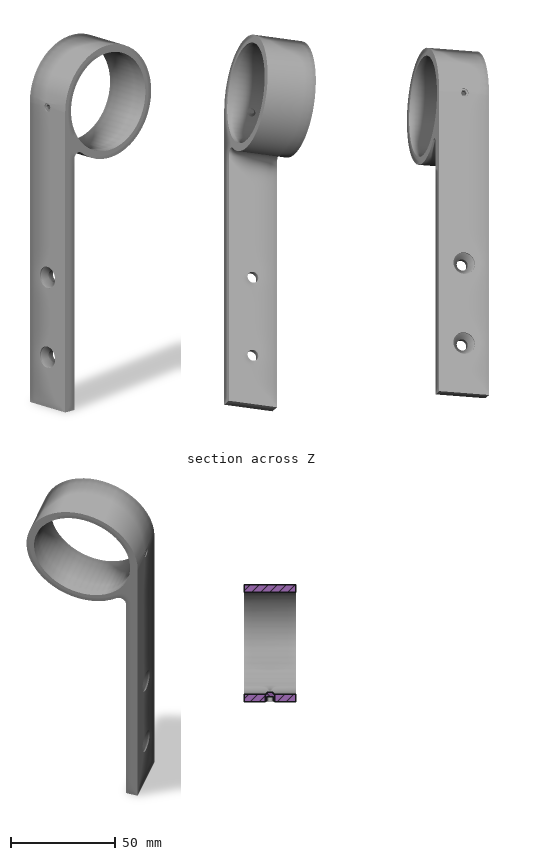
import cadquery as cq
import math

width = 25.0
total_height = 178.2
ring_diameter = 56.5
bore_diameter = 48.8
strip_thickness = 6.0
corner_radius = 2.9

ring_radius = ring_diameter / 2
bore_radius = bore_diameter / 2
front_y = -ring_radius
bottom_z = ring_radius - total_height

hole_diameter = 5.5
countersink_diameter = 10.7
countersink_recess = 0.7
lowest_hole_height = 25.0
hole_pitch = 40.0
hole_count = 2

countersink_depth = (countersink_diameter - hole_diameter) / 2

screw_diameter = 4.3
screw_recess = 0.5
screw_protrusion = 1.0
screw_tip_chamfer = 1.0
socket_across_flats = 2.5
socket_depth = 2.0
socket_sides = 6

screw_front_y = front_y + screw_recess
screw_length = -bore_radius + screw_protrusion - screw_front_y


def rod_from_front(diameter, start_y, length):
    """Cylinder on the ring's horizontal centre line, running in +Y from start_y."""
    start = cq.Vector(0, start_y, 0)
    return cq.Workplane(cq.Solid.makeCylinder(diameter / 2, length, start, cq.Vector(0, 1, 0)))


def make_body_blank():
    """Ring and strip in one piece, with the inside corner between them rounded."""
    ring = cq.Workplane("YZ").circle(ring_radius).extrude(width / 2, both=True)
    strip = (
        cq.Workplane("XY")
        .box(width, strip_thickness, -bottom_z, centered=(True, False, False))
        .translate((0, front_y, bottom_z))
    )
    corner_y = front_y + strip_thickness
    corner_z = -math.sqrt(ring_radius**2 - corner_y**2)
    corner = cq.selectors.NearestToPointSelector((0, corner_y, corner_z))
    return ring.union(strip).edges("|X").edges(corner).fillet(corner_radius)


def make_mounting_hole_cutter(hole_z):
    """Through hole, conical countersink and the shallow straight recess in front of it."""
    cone_start_y = front_y + countersink_recess
    cone = cq.Solid.makeCone(
        countersink_diameter / 2,
        hole_diameter / 2,
        countersink_depth,
        cq.Vector(0, cone_start_y, 0),
        cq.Vector(0, 1, 0),
    )
    return (
        rod_from_front(hole_diameter, front_y, strip_thickness)
        .union(cq.Workplane(cone))
        .union(rod_from_front(countersink_diameter, front_y, countersink_recess))
        .translate((0, 0, hole_z))
    )


def make_bracket():
    bore = cq.Workplane("YZ").circle(bore_radius).extrude(width / 2, both=True)
    screw_hole = rod_from_front(screw_diameter, front_y, ring_radius)
    body = make_body_blank().cut(bore).cut(screw_hole)
    for i in range(hole_count):
        hole_z = bottom_z + lowest_hole_height + i * hole_pitch
        body = body.cut(make_mounting_hole_cutter(hole_z))
    return body


def make_grub_screw():
    shank = rod_from_front(screw_diameter, screw_front_y, screw_length)
    shank = shank.faces(">Y").chamfer(screw_tip_chamfer)
    across_corners = socket_across_flats / math.cos(math.pi / socket_sides)
    socket = (
        cq.Workplane("XZ", origin=(0, screw_front_y, 0))
        .polygon(socket_sides, across_corners)
        .extrude(-socket_depth)
    )
    return shank.cut(socket)


bracket = make_bracket()
grub_screw = make_grub_screw()
result = cq.Compound.makeCompound([bracket.val(), grub_screw.val()])